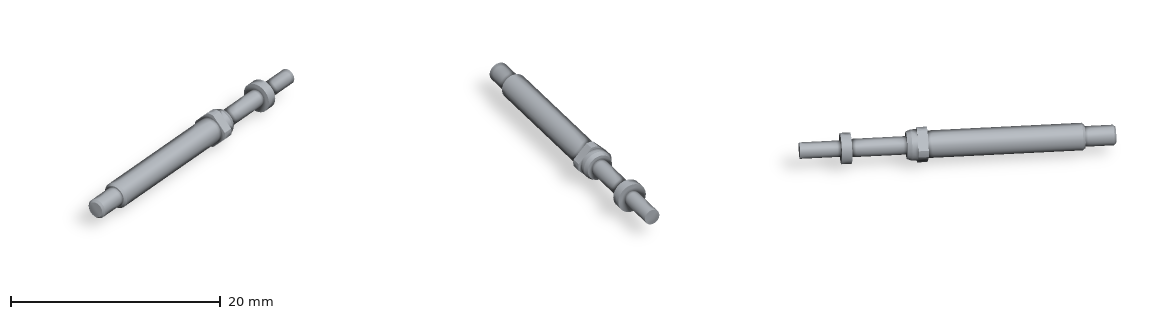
import cadquery as cq

overall_length = 30.3

tip_diameter = 1.97
barrel_diameter = 2.65
head_diameter = 3.6
shoulder_diameter = 3.0
shoulder_end_diameter = 2.65
neck_diameter = 1.75
collar_diameter = 3.0
tail_diameter = 1.58

head_across_flats = 3.0

tip_length = 2.97
head_length = 1.0
shoulder_length = 1.0
shoulder_taper_length = 0.45
neck_length = 5.3
collar_length = 1.0
tail_length = 3.95
barrel_length = overall_length - (
    tip_length + head_length + shoulder_length + neck_length + collar_length + tail_length
)

tip_chamfer = 0.2
barrel_chamfer_length = 0.25
barrel_chamfer_depth = 0.18

tip_end = -overall_length / 2
barrel_start = tip_end + tip_length
head_start = barrel_start + barrel_length
shoulder_start = head_start + head_length
neck_start = shoulder_start + shoulder_length
collar_start = neck_start + neck_length
tail_start = collar_start + collar_length


def rod(diameter, start, length):
    """Cylinder along Y, growing towards +Y from the given start."""
    return cq.Workplane("XZ", origin=(0, start, 0)).circle(diameter / 2).extrude(-length)


def turned(profile):
    """Solid of revolution about Y from (diameter, y) corners listed from -Y to +Y."""
    corners = [(diameter / 2, y) for diameter, y in profile]
    outline = [(0, profile[0][1])] + corners + [(0, profile[-1][1])]
    return cq.Workplane("XY").polyline(outline).close().revolve(360, (0, 0, 0), (0, 1, 0))


def make_tip():
    """Contact tip with a chamfered end."""
    return turned([
        (tip_diameter - 2 * tip_chamfer, tip_end),
        (tip_diameter, tip_end + tip_chamfer),
        (tip_diameter, barrel_start),
    ])


def make_barrel():
    """Main body, chamfered around the tip."""
    return turned([
        (barrel_diameter - 2 * barrel_chamfer_depth, barrel_start),
        (barrel_diameter, barrel_start + barrel_chamfer_length),
        (barrel_diameter, head_start),
    ])


def make_head():
    """Round flange cut by four flats that face the diagonals between X and Z."""
    flats = (
        cq.Workplane("XZ", origin=(0, head_start, 0))
        .transformed(rotate=(0, 0, 45))
        .rect(head_across_flats, head_across_flats)
        .extrude(-head_length)
    )
    return rod(head_diameter, head_start, head_length).intersect(flats)


def make_shoulder():
    """Short step behind the head that tapers down towards the neck."""
    return turned([
        (shoulder_diameter, shoulder_start),
        (shoulder_diameter, neck_start - shoulder_taper_length),
        (shoulder_end_diameter, neck_start),
    ])


result = (
    make_tip()
    .union(make_barrel())
    .union(make_head())
    .union(make_shoulder())
    .union(rod(neck_diameter, neck_start, neck_length))
    .union(rod(collar_diameter, collar_start, collar_length))
    .union(rod(tail_diameter, tail_start, tail_length))
)